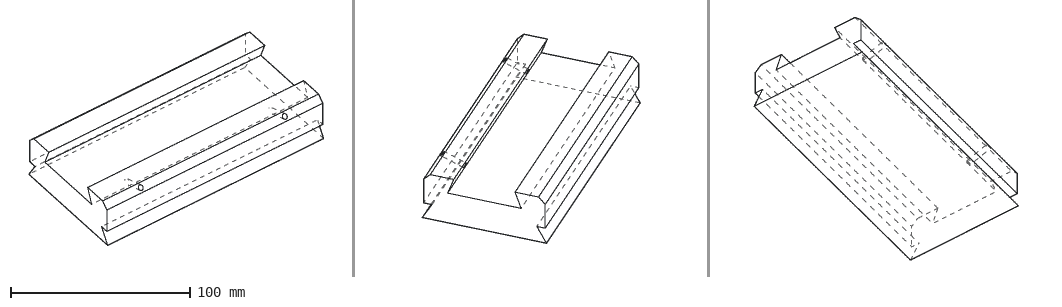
import cadquery as cq
import math

length = 150.0
height = 30.0
foot_width = 74.0
foot_height = 10.0
foot_angle = 60.0
shoulder = 5.0
edge_chamfer = 4.0
slot_floor_width = 43.77
slot_depth = 10.0
slot_angle = 70.0
hole_diameter = 3.0
hole_spacing = 100.0

slot_floor_z = height - slot_depth
foot_neck_width = foot_width - 2 * foot_height / math.tan(math.radians(foot_angle))
body_width = foot_neck_width + 2 * shoulder
slot_mouth_width = slot_floor_width - 2 * slot_depth / math.tan(math.radians(slot_angle))


def make_rail():
    """Symmetric dovetail section, extruded along Y and centred on the origin."""
    right_side = [
        (foot_width / 2, 0),
        (foot_neck_width / 2, foot_height),
        (body_width / 2, foot_height),
        (body_width / 2, height - edge_chamfer),
        (body_width / 2 - edge_chamfer, height),
        (slot_mouth_width / 2, height),
        (slot_floor_width / 2, slot_floor_z),
    ]
    left_side = [(-x, z) for x, z in reversed(right_side)]
    section = cq.Workplane("XZ").polyline(right_side + left_side).close()
    return section.extrude(length / 2, both=True)


def make_screw_hole(y):
    """Cutter from beyond the middle of the +X chamfer down into the slot, square to the slot flank."""
    tilt = math.radians(90 - slot_angle)
    inward = cq.Vector(-math.cos(tilt), 0, -math.sin(tilt))
    chamfer_middle = cq.Vector((body_width - edge_chamfer) / 2, y, height - edge_chamfer / 2)
    overrun = hole_diameter
    wall_thickness = (body_width - slot_mouth_width) / 2
    start = chamfer_middle - inward * overrun
    return cq.Solid.makeCylinder(hole_diameter / 2, wall_thickness + overrun, start, inward)


result = make_rail()
for hole_y in (-hole_spacing / 2, hole_spacing / 2):
    result = result.cut(cq.Workplane(make_screw_hole(hole_y)))